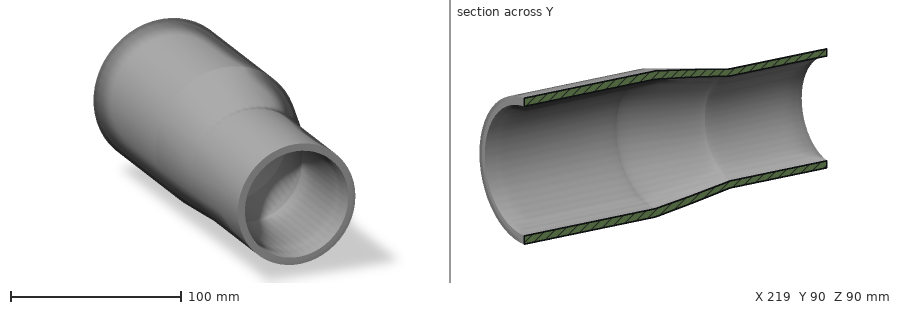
import cadquery as cq

total_length = 219.0
large_length = 95.0
taper_length = 53.9
small_length = total_length - large_length - taper_length

large_outer_diameter = 90.0
large_bore_diameter = 79.3
small_outer_diameter = 75.0
small_bore_diameter = 66.0

small_axis_y = -(large_outer_diameter - small_outer_diameter) / 2


def reducer_solid(large_diameter, small_diameter):
    """Large cylinder, eccentric taper and small cylinder joined along X."""
    large_pipe = cq.Workplane("YZ").circle(large_diameter / 2).extrude(large_length)
    taper = (
        cq.Workplane("YZ", origin=(large_length, 0, 0))
        .circle(large_diameter / 2)
        .workplane(offset=taper_length)
        .center(small_axis_y, 0)
        .circle(small_diameter / 2)
        .loft(ruled=True)
    )
    small_pipe = (
        cq.Workplane("YZ", origin=(large_length + taper_length, small_axis_y, 0))
        .circle(small_diameter / 2)
        .extrude(small_length)
    )
    return large_pipe.union(taper).union(small_pipe)


outer_body = reducer_solid(large_outer_diameter, small_outer_diameter)
bore = reducer_solid(large_bore_diameter, small_bore_diameter)
result = outer_body.cut(bore)